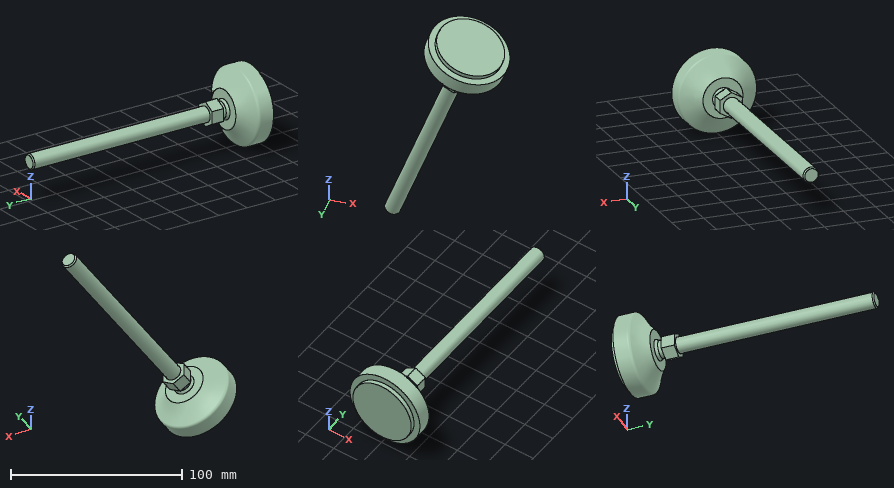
import cadquery as cq
import math

total_length = 159.0

pad_radius = 41.5 / 2
pad_height = 2.9
rim_radius = 50.0 / 2
rim_top = 11.6
shoulder_radius = 23.8
shoulder_top = 13.5
foot_top_radius = 12.5
foot_top = 21.1
flank_sag = 0.5
shoulder_bulge = 0.3

neck_radius = 11.0 / 2
neck_base_radius = 6.5
neck_start = 23.0

hex_across_flats = 14.0
hex_start = 25.9
hex_end = 34.2

rod_radius = 10.0 / 2
rod_chamfer = 0.8


def make_foot_and_neck():
    """Revolve the pad, rim, hollow flank and flared neck about Y."""
    return (
        cq.Workplane("XY")
        .lineTo(pad_radius, 0)
        .lineTo(pad_radius, pad_height)
        .lineTo(rim_radius, pad_height)
        .lineTo(rim_radius, rim_top)
        .sagittaArc((shoulder_radius, shoulder_top), -shoulder_bulge)
        .sagittaArc((foot_top_radius, foot_top), flank_sag)
        .lineTo(neck_base_radius, foot_top)
        .lineTo(neck_radius, neck_start)
        .lineTo(neck_radius, hex_start)
        .lineTo(0, hex_start)
        .close()
        .revolve(360, (0, 0), (0, 1))
    )


def plane_at(y):
    """Workplane across the axis; extrude by a negative length to go toward +Y."""
    return cq.Workplane("XZ", origin=(0, y, 0))


def make_hexagon():
    """Wrench hexagon with flats facing +X and -X."""
    across_corners = hex_across_flats / math.cos(math.pi / 6)
    prism = plane_at(hex_start).polygon(6, across_corners).extrude(hex_start - hex_end)
    return prism.rotate((0, 0, 0), (0, 1, 0), 30)


def make_rod():
    """Plain rod with a chamfered free end."""
    rod = plane_at(hex_end).circle(rod_radius).extrude(hex_end - total_length)
    return rod.faces(">Y").chamfer(rod_chamfer)


result = make_foot_and_neck().union(make_hexagon()).union(make_rod())